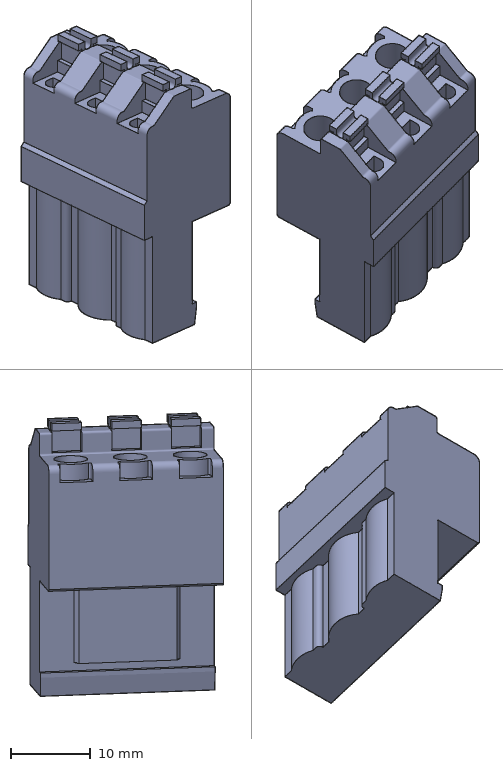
import cadquery as cq


pole_count = 3
pole_pitch = 7.6
pole_xs = [(i - (pole_count - 1) / 2) * pole_pitch for i in range(pole_count)]

width = 22.23
depth = 15.05
total_height = 34.73

block_bottom_z = 14.7
shoulder_z = 30.7
front_face_y = 0.5
front_edge_radius = 0.95
rear_edge_radius = 0.97
bottom_edge_chamfer = 0.28

band_bottom_z = 15.07
band_top_z = 20.05
band_chamfer_height = 0.45

tower_top_z = 33.6
tower_rear_y = 8.25
tower_slope_top_y = 5.17
tower_slope_foot_y = 1.7
tower_rear_radius = 0.3
tower_rear_foot_radius = 0.25
tower_slope_radius = 0.3

well_width = 3.8
well_floor_z = 29.4
ledge_z = 31.05
ledge_front_y = 4.83

entry_diameter = 4.2
entry_y = 10.85
entry_depth = 10.42

pocket_width = 4.17
pocket_reach = 1.55
pocket_corner_radius = 0.2
pocket_depth = 2.1
collar_radius = 3.2

test_width = 2.3
test_center_y = 2.43
test_flat_y = 3.35
test_depth = 6.95

plug_front_y = 1.42
plug_recess_y = 2.1
plug_rear_y = 8.4
plug_mid_y = (plug_front_y + plug_rear_y) / 2
barrel_radius = 4.17
barrel_front_y = 0.8
recess_half_width = 4.2
recess_edge_radius = 0.6

rear_face_y = 9.15
rib_bottom_z = 4.1
rib_tip_width = 12.5
rib_base_width = 13.48
foot_top_z = 3.05
foot_taper_z = 2.43
foot_end_y = 8.8

lever_width = 3.75
lever_center_y = 6.45
head_length = 3.23
head_bottom_z = 33.8
neck_length = 2.0
groove_width = 1.05
groove_bottom_z = 33.48


def side_profile(points):
    """Extrude a (Y, Z) outline over the full housing width, centred on X = 0."""
    return cq.Workplane("YZ").polyline(points).close().extrude(width / 2, both=True)


def edge_at(y, z):
    """Select the edge along X that passes through (y, z)."""
    tolerance = 0.017
    return cq.selectors.BoxSelector(
        (-width, y - tolerance, z - tolerance), (width, y + tolerance, z + tolerance)
    )


def box_between(x_size, y_range, z_range):
    """Box centred on X = 0 that spans the given Y and Z ranges."""
    y_low, y_high = y_range
    z_low, z_high = z_range
    return cq.Workplane("XY").box(x_size, y_high - y_low, z_high - z_low).translate(
        (0, (y_low + y_high) / 2, (z_low + z_high) / 2)
    )


def make_block():
    """Upper block with its front band and the sloped tower."""
    block = side_profile([
        (0, band_bottom_z),
        (0, band_top_z),
        (front_face_y, band_top_z + band_chamfer_height),
        (front_face_y, shoulder_z),
        (tower_slope_foot_y, shoulder_z),
        (tower_slope_top_y, tower_top_z),
        (tower_rear_y, tower_top_z),
        (tower_rear_y, shoulder_z),
        (depth, shoulder_z),
        (depth, block_bottom_z),
        (plug_rear_y, block_bottom_z),
        (plug_rear_y, band_bottom_z),
    ])
    block = block.edges(edge_at(front_face_y, shoulder_z)).fillet(front_edge_radius)
    block = block.edges(edge_at(depth, shoulder_z)).fillet(rear_edge_radius)
    block = block.edges(edge_at(depth, block_bottom_z)).chamfer(bottom_edge_chamfer)
    block = block.edges(edge_at(tower_slope_foot_y, shoulder_z)).fillet(tower_slope_radius)
    block = block.edges(edge_at(tower_slope_top_y, tower_top_z)).fillet(tower_slope_radius)
    block = block.edges(edge_at(tower_rear_y, tower_top_z)).fillet(tower_rear_radius)
    return block.edges(edge_at(tower_rear_y, shoulder_z)).fillet(tower_rear_foot_radius)


def make_plug():
    """Plug body: a stepped slab with one rounded barrel bulging forward per pole."""
    plug = box_between(width, (plug_front_y, plug_rear_y), (0, band_bottom_z))
    recess = box_between(2 * recess_half_width, (plug_front_y, plug_recess_y), (0, band_bottom_z))
    plug = plug.cut(recess)
    for x in (-recess_half_width, recess_half_width):
        corner = cq.selectors.NearestToPointSelector((x, plug_front_y, band_bottom_z / 2))
        plug = plug.edges("|Z").edges(corner).fillet(recess_edge_radius)

    barrel_center_y = barrel_front_y + barrel_radius
    slab = box_between(width, (barrel_front_y, barrel_center_y), (0, band_bottom_z))
    for x in pole_xs:
        barrel = cq.Workplane("XY").center(x, barrel_center_y).circle(barrel_radius)
        plug = plug.union(barrel.extrude(band_bottom_z).intersect(slab))
    return plug


def make_foot():
    """Latch foot: tapered hook along the lower rear edge of the plug."""
    return side_profile([
        (plug_mid_y, 0),
        (foot_end_y, 0),
        (rear_face_y, foot_taper_z),
        (rear_face_y, foot_top_z),
        (plug_mid_y, foot_top_z),
    ])


def make_rib():
    """Keying rib with slanted flanks on the rear of the plug."""
    outline = [
        (-rib_base_width / 2, plug_rear_y),
        (rib_base_width / 2, plug_rear_y),
        (rib_tip_width / 2, rear_face_y),
        (-rib_tip_width / 2, rear_face_y),
    ]
    rib = cq.Workplane("XY").workplane(offset=rib_bottom_z).polyline(outline).close()
    return rib.extrude(block_bottom_z - rib_bottom_z)


def make_well():
    """Space cleared for a lever: open above the ledge and, in front of it, down to the floor."""
    above_ledge = box_between(well_width, (0, tower_rear_y), (ledge_z, total_height))
    front_bay = box_between(well_width, (0, ledge_front_y), (well_floor_z, total_height))
    return above_ledge.union(front_bay)


def make_wire_entry():
    hole = cq.Workplane("XY").workplane(offset=shoulder_z - entry_depth).center(0, entry_y)
    return hole.circle(entry_diameter / 2).extrude(entry_depth)


def make_rear_pocket():
    """Notch in the top rear edge, reaching in up to a collar concentric with the wire entry."""
    z_range = (shoulder_z - pocket_depth, shoulder_z)
    notch = box_between(pocket_width, (depth - pocket_reach, depth), z_range)
    notch = notch.edges("|Z and <Y").fillet(pocket_corner_radius)
    collar = cq.Workplane("XY").workplane(offset=z_range[0]).center(0, entry_y)
    return notch.cut(collar.circle(collar_radius).extrude(pocket_depth))


def make_test_opening():
    """D-shaped hole: flat towards the lever, round towards the front."""
    radius = test_width / 2
    outline = (
        cq.Workplane("XY").workplane(offset=well_floor_z - test_depth)
        .moveTo(-radius, test_flat_y)
        .lineTo(-radius, test_center_y)
        .threePointArc((0, test_center_y - radius), (radius, test_center_y))
        .lineTo(radius, test_flat_y)
        .close()
    )
    return outline.extrude(test_depth)


def make_housing():
    housing = make_block().union(make_plug()).union(make_foot()).union(make_rib())
    pole_cuts = [make_well(), make_wire_entry(), make_rear_pocket(), make_test_opening()]
    for x in pole_xs:
        for cut in pole_cuts:
            housing = housing.cut(cut.translate((x, 0, 0)))
    return housing


def make_lever(x):
    """T-shaped lever standing on the ledge, with a round-bottomed groove along its head."""
    groove_radius = groove_width / 2
    groove_axis_z = groove_bottom_z + groove_radius
    profile = (
        cq.Workplane("YZ")
        .moveTo(-neck_length / 2, ledge_z)
        .lineTo(-neck_length / 2, head_bottom_z)
        .lineTo(-head_length / 2, head_bottom_z)
        .lineTo(-head_length / 2, total_height)
        .lineTo(-groove_radius, total_height)
        .lineTo(-groove_radius, groove_axis_z)
        .threePointArc((0, groove_bottom_z), (groove_radius, groove_axis_z))
        .lineTo(groove_radius, total_height)
        .lineTo(head_length / 2, total_height)
        .lineTo(head_length / 2, head_bottom_z)
        .lineTo(neck_length / 2, head_bottom_z)
        .lineTo(neck_length / 2, ledge_z)
        .close()
    )
    return profile.extrude(lever_width / 2, both=True).translate((x, lever_center_y, 0))


housing = make_housing()
levers = [make_lever(x) for x in pole_xs]

result = cq.Compound.makeCompound([housing.val(), *[lever.val() for lever in levers]])